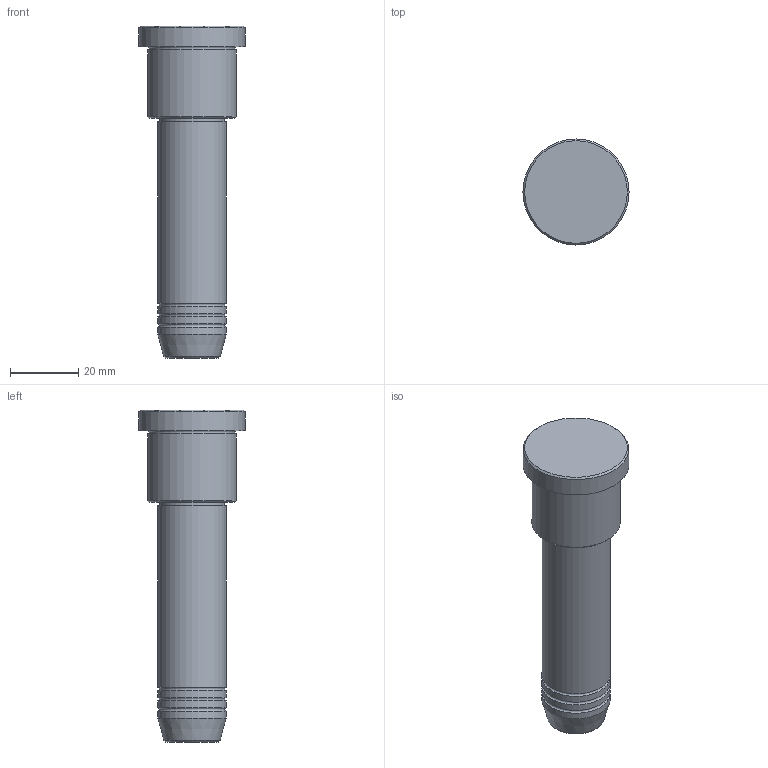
import cadquery as cq
import math

TOTAL_LENGTH = 97.0
HEAD_HEIGHT = 6.0
BODY_BOTTOM = 70.0
LEAD_IN_LENGTH = 7.0

HEAD_DIAMETER = 31.0
BODY_DIAMETER = 26.0
PIN_DIAMETER = 20.0

EDGE_CHAMFER = 0.5
LEAD_IN_ANGLE = 15.0

GROOVE_WIDTH = 1.0
GROOVE_DEPTH = GROOVE_WIDTH / 2
RING_GROOVE_COUNT = 3
RING_GROOVE_PITCH = 3.0
LOWEST_RING_GROOVE = 9.0

HEAD_BOTTOM = TOTAL_LENGTH - HEAD_HEIGHT


def revolve_about_z(points):
    """Turn a closed outline of (radius, height) points about the Z axis."""
    return cq.Workplane("XZ").polyline(points).close().revolve(360, (0, 0, 0), (0, 1, 0))


def make_head():
    """Flat head with a chamfered top edge."""
    radius = HEAD_DIAMETER / 2
    return revolve_about_z([
        (0, HEAD_BOTTOM),
        (radius, HEAD_BOTTOM),
        (radius, TOTAL_LENGTH - EDGE_CHAMFER),
        (radius - EDGE_CHAMFER, TOTAL_LENGTH),
        (0, TOTAL_LENGTH),
    ])


def make_body():
    """Thick cylinder under the head with a chamfered bottom edge."""
    radius = BODY_DIAMETER / 2
    return revolve_about_z([
        (0, BODY_BOTTOM),
        (radius - EDGE_CHAMFER, BODY_BOTTOM),
        (radius, BODY_BOTTOM + EDGE_CHAMFER),
        (radius, HEAD_BOTTOM),
        (0, HEAD_BOTTOM),
    ])


def make_pin():
    """Straight shank with a conical lead-in and a chamfered tip."""
    radius = PIN_DIAMETER / 2
    taper = math.tan(math.radians(LEAD_IN_ANGLE))
    tip_radius = radius - (LEAD_IN_LENGTH - EDGE_CHAMFER) * taper
    return revolve_about_z([
        (0, 0),
        (tip_radius - EDGE_CHAMFER, 0),
        (tip_radius, EDGE_CHAMFER),
        (radius, LEAD_IN_LENGTH),
        (radius, BODY_BOTTOM),
        (0, BODY_BOTTOM),
    ])


def square_groove(diameter, bottom):
    """Ring cutter with a rectangular section, opening at the given shaft diameter."""
    outer = diameter / 2
    inner = outer - GROOVE_DEPTH
    top = bottom + GROOVE_WIDTH
    return revolve_about_z([(inner, bottom), (outer, bottom), (outer, top), (inner, top)])


def round_groove(diameter, bottom):
    """Ring cutter with a half-round section, opening at the given shaft diameter."""
    outer = diameter / 2
    inner = outer - GROOVE_DEPTH
    middle = bottom + GROOVE_WIDTH / 2
    section = (
        cq.Workplane("XZ")
        .moveTo(outer, bottom)
        .threePointArc((inner, middle), (outer, bottom + GROOVE_WIDTH))
        .close()
    )
    return section.revolve(360, (0, 0, 0), (0, 1, 0))


result = make_head().union(make_body()).union(make_pin())

result = result.cut(round_groove(BODY_DIAMETER, HEAD_BOTTOM - GROOVE_WIDTH))
result = result.cut(square_groove(PIN_DIAMETER, BODY_BOTTOM - GROOVE_WIDTH))

for index in range(RING_GROOVE_COUNT):
    groove_bottom = LOWEST_RING_GROOVE + index * RING_GROOVE_PITCH
    result = result.cut(round_groove(PIN_DIAMETER, groove_bottom))